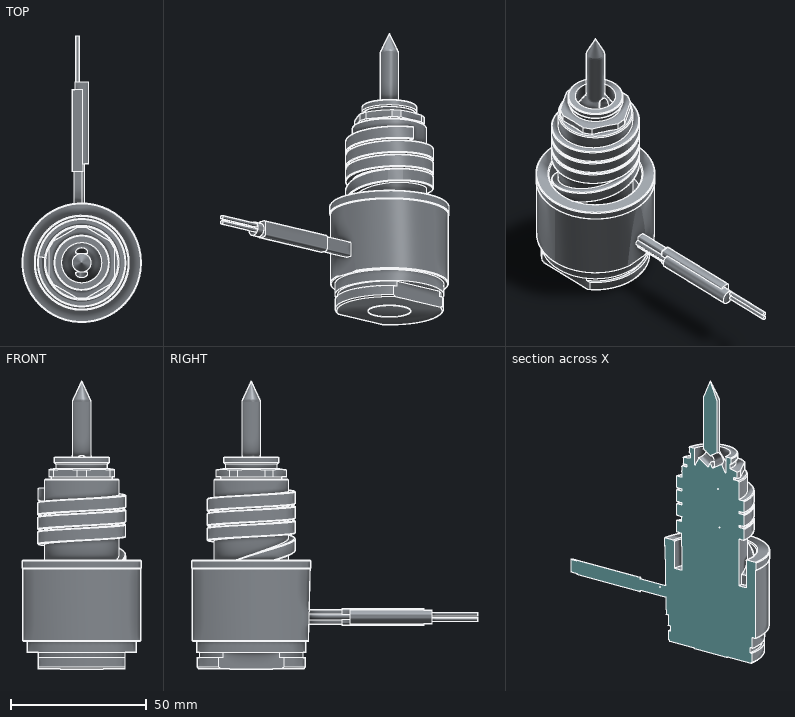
import cadquery as cq
import math

FOOT_RADIUS = 7.9
FOOT_HEIGHT = 0.25
BASE_RADIUS = 20.0
BASE_TOP = 4.4
BASE_CHAMFER = 0.6
GROOVE_RADIUS = 19.1
GROOVE_TOP = 6.3
BASE_FLAT_HALF_WIDTH = 16.0
RING_RADIUS = 20.1

HOUSING_BOTTOM = 10.4
HOUSING_RADIUS = 21.75
RIM_RADIUS = 22.0
RIM_BOTTOM = 37.0
RIM_TOP = 40.3
RIM_CHAMFER = 0.3
BACK_FLAT_DEPTH = 0.65
WELL_RADIUS = 17.1
WELL_FLOOR = 29.4
WELL_CHAMFER = 0.4

STEM_RADIUS = 13.75
STEM_TOP = 70.2
STEM_CHAMFER = 0.4
NECK_RADIUS = 11.3
HEX_BOTTOM = 70.9
HEX_TOP = 74.1
HEX_APOTHEM = 12.1
HEX_CORNER_APOTHEM = 13.0
HEX_TOP_RADIUS = 9.5
HEX_TOP_DROP = 0.6
COLLAR_NECK_RADIUS = 9.5
COLLAR_BOTTOM = 75.7
COLLAR_RADIUS = 10.15
COLLAR_TOP = 78.3
COLLAR_CHAMFER = 0.3
COLLAR_UNDERCUT = 0.5
COLLAR_BORE_RADIUS = 7.4

SPIKE_RADIUS = 3.45
SPIKE_TIP = 106.3
SPIKE_SHOULDER = 98.9
SPIKE_BLEND = 1.8
SPIKE_CONE_TOP = 78.6
SPIKE_CONE_BOTTOM = 71.7
SIDE_HOLE_RADIUS = 2.2
SIDE_HOLE_Z = 76.9

THREAD_RADIUS = 16.25
EMBED_DEPTH = 0.5
THREAD_ROOT = STEM_RADIUS - EMBED_DEPTH
THREAD_PITCH = 5.4
THREAD_HEIGHT = 4.75
THREAD_CHAMFER = 0.3
THREAD_TOP = 66.9
THREAD_END_ANGLE = 172.0
RUNOUT_ANGLE = 157.0
THREAD_SWEEP = 3 * 360 + THREAD_END_ANGLE - RUNOUT_ANGLE
RUNOUT_PITCH_STEP = 3.4
RUNOUT_SEGMENT_ANGLE = 20.0
RUNOUT_SEGMENTS = 12

CABLE_Z = 19.35
CABLE_INSET = 3.0
CABLE_START = HOUSING_RADIUS - CABLE_INSET
BLOCK_X = -1.53
BLOCK_WIDTH = 4.0
BLOCK_HEIGHT = 6.1
BLOCK_FILLET = 1.0
BLOCK_START = 33.5
BLOCK_END = 63.7
STRIP_X = -1.4
STRIP_WIDTH = 3.0
STRIP_HEIGHT = 5.4
STRIP_FILLET = 0.65
CORD_RADIUS = 1.09
SLEEVE_RADIUS = 2.55
SLEEVE_START = 36.4
SLEEVE_END = 66.6
WIRE_RADIUS = 0.7
WIRE_SPACING = 1.95
WIRE_END = 83.5


def cylinder(radius, bottom, top):
    return cq.Workplane("XY").workplane(offset=bottom).circle(radius).extrude(top - bottom)


def revolved(points):
    """Revolve a closed (radius, z) outline about the Z axis."""
    return cq.Workplane("XZ").polyline(points).close().revolve(360, (0, 0, 0), (0, 1, 0))


def make_base():
    flange = cylinder(BASE_RADIUS, FOOT_HEIGHT, BASE_TOP).faces("<Z").chamfer(BASE_CHAMFER)
    flange = flange.union(cylinder(GROOVE_RADIUS, BASE_TOP, GROOVE_TOP))
    flats = cq.Workplane("XY").box(2 * BASE_FLAT_HALF_WIDTH, 2 * RIM_RADIUS, 2 * GROOVE_TOP)
    ring = cylinder(RING_RADIUS, GROOVE_TOP, HOUSING_BOTTOM)
    foot = cylinder(FOOT_RADIUS, 0, BASE_TOP)
    return flange.intersect(flats).union(ring).union(foot)


def make_housing():
    barrel = cylinder(HOUSING_RADIUS, HOUSING_BOTTOM, RIM_BOTTOM).faces("<Z").chamfer(RIM_CHAMFER)
    rim = cylinder(RIM_RADIUS, RIM_BOTTOM, RIM_TOP).faces("<Z or >Z").chamfer(RIM_CHAMFER)
    well = revolved([
        (0, WELL_FLOOR),
        (WELL_RADIUS, WELL_FLOOR),
        (WELL_RADIUS, RIM_TOP - WELL_CHAMFER),
        (WELL_RADIUS + WELL_CHAMFER, RIM_TOP),
        (0, RIM_TOP),
    ])
    wedge = cq.Workplane("YZ").polyline([
        (HOUSING_RADIUS, RIM_BOTTOM),
        (HOUSING_RADIUS - BACK_FLAT_DEPTH, HOUSING_BOTTOM),
        (HOUSING_RADIUS, HOUSING_BOTTOM),
    ]).close().extrude(HOUSING_RADIUS, both=True)
    return barrel.cut(wedge).union(rim).cut(well)


def make_hexagon():
    height = HEX_TOP - HEX_BOTTOM
    prisms = []
    for apothem, turn in ((HEX_APOTHEM, 0), (HEX_CORNER_APOTHEM, 30)):
        prism = cq.Workplane("XY").workplane(offset=HEX_BOTTOM).polygon(
            6, 2 * apothem, circumscribed=True
        ).extrude(height)
        prisms.append(prism.rotate((0, 0, 0), (0, 0, 1), turn))
    outer = HEX_APOTHEM / math.cos(math.pi / 6)
    slope = HEX_TOP_DROP / (HEX_CORNER_APOTHEM - HEX_TOP_RADIUS)
    envelope = revolved([
        (0, HEX_BOTTOM),
        (outer, HEX_BOTTOM),
        (outer, HEX_TOP - slope * (outer - HEX_TOP_RADIUS)),
        (HEX_TOP_RADIUS, HEX_TOP),
        (0, HEX_TOP),
    ])
    return prisms[0].intersect(prisms[1]).intersect(envelope)


def make_stem():
    stem = cylinder(STEM_RADIUS, WELL_FLOOR, STEM_TOP).faces(">Z").chamfer(STEM_CHAMFER)
    neck = cylinder(NECK_RADIUS, STEM_TOP, HEX_BOTTOM)
    collar_neck = cylinder(COLLAR_NECK_RADIUS, HEX_TOP, COLLAR_BOTTOM)
    collar = cylinder(COLLAR_RADIUS, COLLAR_BOTTOM, COLLAR_TOP)
    collar = collar.faces(">Z").chamfer(COLLAR_CHAMFER).faces("<Z").chamfer(COLLAR_UNDERCUT)
    stem = stem.union(neck).union(make_hexagon()).union(collar_neck).union(collar)
    return stem.cut(cylinder(COLLAR_BORE_RADIUS, SPIKE_CONE_BOTTOM, COLLAR_TOP))


def make_spike():
    spike = revolved([
        (0, SPIKE_CONE_BOTTOM),
        (COLLAR_BORE_RADIUS, SPIKE_CONE_BOTTOM),
        (SPIKE_RADIUS, SPIKE_CONE_TOP),
        (SPIKE_RADIUS, SPIKE_SHOULDER),
        (0, SPIKE_TIP),
    ])
    spike = spike.edges(cq.selectors.RadiusNthSelector(0)).fillet(SPIKE_BLEND)
    cone_rise = SPIKE_CONE_TOP - SPIKE_CONE_BOTTOM
    cone_run = COLLAR_BORE_RADIUS - SPIKE_RADIUS
    hole_radius = SPIKE_RADIUS + (SPIKE_CONE_TOP - SIDE_HOLE_Z) * cone_run / cone_rise
    axis_z = SIDE_HOLE_Z - hole_radius * cone_run / cone_rise
    for side in (-1, 1):
        outward = cq.Vector(0, side * cone_rise, cone_run)
        hole = cq.Solid.makeCylinder(
            SIDE_HOLE_RADIUS, 2 * hole_radius, cq.Vector(0, 0, axis_z), outward
        )
        spike = spike.cut(cq.Workplane(hole))
    return spike


def thread_segment(pitch, sweep_angle, start_angle, start_top):
    """Sweep the thread section upwards from its start through sweep_angle degrees."""
    path = cq.Wire.makeHelix(pitch, pitch * sweep_angle / 360, THREAD_RADIUS)
    section = cq.Workplane("XZ").polyline([
        (THREAD_ROOT, 0),
        (THREAD_ROOT, -THREAD_HEIGHT),
        (THREAD_RADIUS - THREAD_CHAMFER, -THREAD_HEIGHT),
        (THREAD_RADIUS, THREAD_CHAMFER - THREAD_HEIGHT),
        (THREAD_RADIUS, -THREAD_CHAMFER),
        (THREAD_RADIUS - THREAD_CHAMFER, 0),
    ]).close()
    segment = section.sweep(cq.Workplane(path), isFrenet=True)
    return segment.rotate((0, 0, 0), (0, 0, 1), start_angle).translate((0, 0, start_top))


def make_thread():
    """Even spiral whose lower end runs down into the well ever more steeply."""
    angle = RUNOUT_ANGLE
    top = THREAD_TOP - THREAD_PITCH * THREAD_SWEEP / 360
    pieces = [thread_segment(THREAD_PITCH, THREAD_SWEEP, angle, top)]
    for index in range(RUNOUT_SEGMENTS):
        pitch = THREAD_PITCH + (index + 0.5) * RUNOUT_PITCH_STEP
        angle -= RUNOUT_SEGMENT_ANGLE
        top -= pitch * RUNOUT_SEGMENT_ANGLE / 360
        pieces.append(thread_segment(pitch, RUNOUT_SEGMENT_ANGLE, angle, top))
    return pieces


def rod(radius, x, z, start, end):
    """Round rod parallel to Y."""
    return cq.Workplane("XZ", origin=(x, start, z)).circle(radius).extrude(start - end)


def rounded_bar(width, height, fillet, x, start, end):
    """Bar parallel to Y with rounded long edges."""
    bar = cq.Workplane("XZ", origin=(x, start, CABLE_Z)).rect(width, height).extrude(start - end)
    return bar.edges("|Y").fillet(fillet)


def make_cable():
    cable = rounded_bar(BLOCK_WIDTH, BLOCK_HEIGHT, BLOCK_FILLET, BLOCK_X, BLOCK_START, BLOCK_END)
    strip = rounded_bar(STRIP_WIDTH, STRIP_HEIGHT, STRIP_FILLET, STRIP_X, CABLE_START, BLOCK_END)
    cord = rod(CORD_RADIUS, 0, CABLE_Z, CABLE_START, SLEEVE_END)
    sleeve = rod(SLEEVE_RADIUS, 0, CABLE_Z, SLEEVE_START, SLEEVE_END)
    cable = cable.union(strip).union(cord).union(sleeve)
    for side in (-1, 1):
        wire_z = CABLE_Z + side * WIRE_SPACING / 2
        cable = cable.union(rod(WIRE_RADIUS, BLOCK_X, wire_z, SLEEVE_END, WIRE_END))
    return cable


stem = make_stem()
for piece in make_thread():
    stem = stem.union(piece)
result = make_base().union(make_housing()).union(stem).union(make_spike()).union(make_cable())